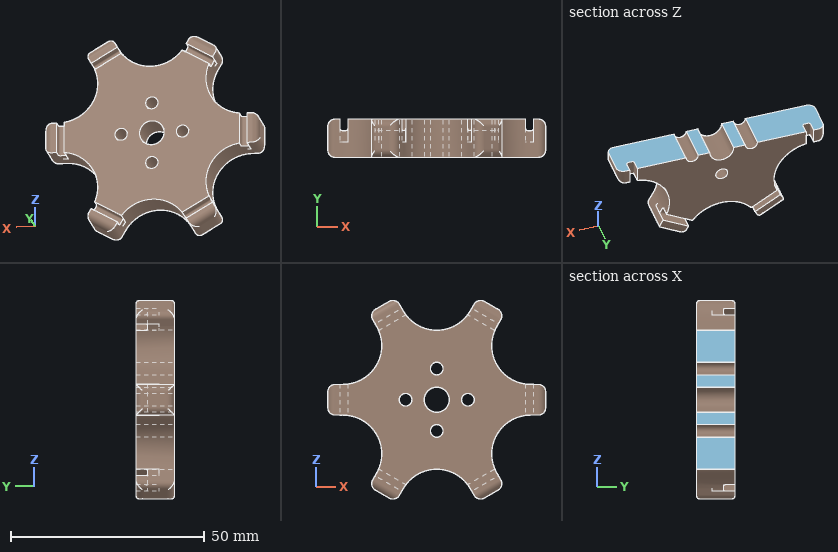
import cadquery as cq
import math

arm_count = 6
arm_pitch = 360 / arm_count
tip_radius = 28.2
arm_width = 8.0
half_width = arm_width / 2
thickness = 10.0
tip_fillet = 2.0

hollow_floor_radius = 18.0
half_pitch_sine = math.sin(math.radians(arm_pitch / 2))
hollow_center_radius = (hollow_floor_radius - half_width) / (1 - half_pitch_sine)
hollow_radius = hollow_center_radius - hollow_floor_radius
tangent_radius = hollow_center_radius * math.cos(math.radians(arm_pitch / 2))

slot_inner_radius = 23.0
slot_width = 2.0
slot_depth = 3.0
slot_outer_radius = slot_inner_radius + slot_width
slot_floor_fillet = 0.5

pocket_depth = 6.0

bore_diameter = 6.4
mount_hole_diameter = 3.2
mount_hole_count = 4
mount_circle_radius = 8.05


def polar_point(radius, offset, angle):
    """Point at a distance along a ray from the center, shifted sideways from that ray."""
    a = math.radians(angle)
    return (
        radius * math.cos(a) - offset * math.sin(a),
        radius * math.sin(a) + offset * math.cos(a),
    )


def hollow_edge_height(radius):
    """Height of the hollow's circle above the axis of the arm along +X."""
    center_height = hollow_center_radius * half_pitch_sine
    return center_height - math.sqrt(hollow_radius**2 - (radius - tangent_radius) ** 2)


def front_plane():
    """Sketch plane on the front face (Y = 0); its normal points to -Y."""
    return cq.Workplane("XZ")


def star_body():
    """Star outline, extruded from the front face to the back face."""
    outline = front_plane().moveTo(*polar_point(tip_radius, -half_width, 0))
    for i in range(arm_count):
        angle = i * arm_pitch
        next_angle = angle + arm_pitch
        outline = (
            outline.lineTo(*polar_point(tip_radius, half_width, angle))
            .lineTo(*polar_point(tangent_radius, half_width, angle))
            .threePointArc(
                polar_point(hollow_floor_radius, 0, angle + arm_pitch / 2),
                polar_point(tangent_radius, -half_width, next_angle),
            )
        )
        if i < arm_count - 1:
            outline = outline.lineTo(*polar_point(tip_radius, -half_width, next_angle))
    return outline.close().extrude(-thickness)


def round_tips(body):
    """Round all four edges of each arm's end face."""
    for i in range(arm_count):
        tip_x, tip_z = polar_point(tip_radius, 0, i * arm_pitch)
        tip_center = (tip_x, thickness / 2, tip_z)
        body = body.faces(cq.NearestToPointSelector(tip_center)).edges().fillet(tip_fillet)
    return body


def cross_cutter(depth):
    """Block as wide as the slot, across the arm along +X and reaching down from the back face."""
    return (
        cq.Workplane("XY")
        .box(slot_width, depth, 2 * arm_width, centered=(False, False, True))
        .translate((slot_inner_radius, thickness - depth, 0))
    )


def pocket_bridge():
    """Block filling the pocket: flat on one side, following the neighbouring hollow on the other."""
    return (
        front_plane()
        .workplane(offset=pocket_depth - thickness)
        .moveTo(slot_inner_radius, -half_width)
        .lineTo(slot_outer_radius, -half_width)
        .lineTo(slot_outer_radius, hollow_edge_height(slot_outer_radius))
        .threePointArc(
            (tangent_radius, half_width),
            (slot_inner_radius, hollow_edge_height(slot_inner_radius)),
        )
        .close()
        .extrude(-pocket_depth)
    )


def rounded_slot():
    """Cutter for the slot with its rounded floor corners."""
    return cross_cutter(slot_depth).edges("<Y and |Z").fillet(slot_floor_fillet)


def slot_arm(body, angle):
    """Pocket, bridge and slot on the arm at the given angle."""
    def turned(shape):
        return shape.rotate((0, 0, 0), (0, 1, 0), -angle)

    body = body.cut(turned(cross_cutter(pocket_depth)))
    return body.union(turned(pocket_bridge().cut(rounded_slot())))


def hub_holes():
    """Cutters for the bore and the four holes around it."""
    bore = front_plane().circle(bore_diameter / 2).extrude(-thickness)
    mounts = (
        front_plane()
        .polarArray(mount_circle_radius, 0, 360, mount_hole_count)
        .circle(mount_hole_diameter / 2)
        .extrude(-thickness)
    )
    return bore.union(mounts)


result = round_tips(star_body()).cut(hub_holes())
for arm in range(arm_count):
    result = slot_arm(result, arm * arm_pitch)